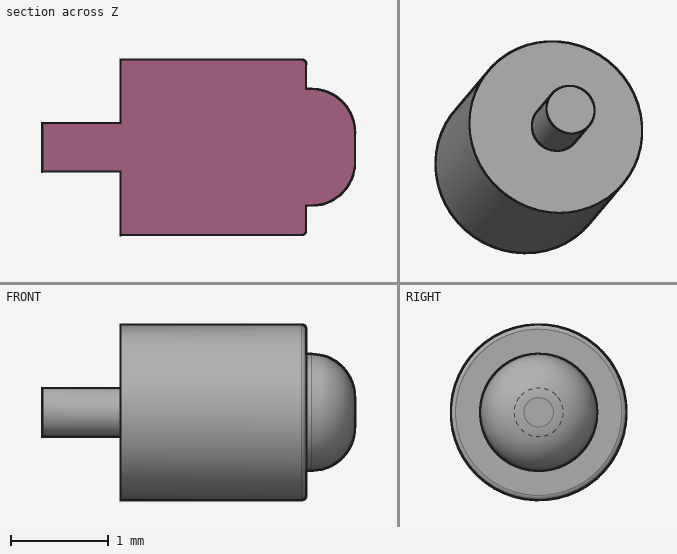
import cadquery as cq

pin_diameter = 0.5
pin_length = 0.8
body_diameter = 1.8
body_length = 1.9
body_edge_radius = 0.05
head_diameter = 1.2
head_length = 0.5
head_collar_length = 0.05
head_edge_radius = head_length - head_collar_length


def cylinder_along_x(start, diameter, length):
    """Solid cylinder on the X axis, running from start toward +X."""
    return cq.Workplane("YZ", origin=(start, 0, 0)).circle(diameter / 2).extrude(length)


def make_pin():
    return cylinder_along_x(-pin_length, pin_diameter, pin_length)


def make_body():
    """Main cylinder, with its back face at X = 0 and its front rim rounded."""
    body = cylinder_along_x(0, body_diameter, body_length)
    return body.faces(">X").edges().fillet(body_edge_radius)


def make_head():
    """Domed head: short collar, rounded shoulder and a small flat tip."""
    head = cylinder_along_x(body_length, head_diameter, head_length)
    return head.faces(">X").edges().fillet(head_edge_radius)


result = make_body().union(make_pin()).union(make_head())